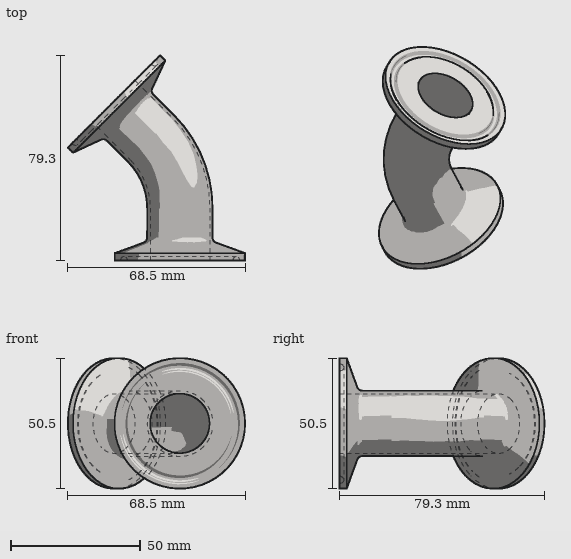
import cadquery as cq
import math

tube_diameter = 25.4
bore_diameter = 23.0
bend_radius = 38.1
bend_angle = 45.0
leg_length = 20.2

flange_diameter = 50.5
rim_thickness = 2.85
cone_angle = 20.0
neck_fillet = 2.0

groove_diameter = 43.5
groove_depth = 1.7
groove_bottom_radius = 1.2
groove_lip_radius = 0.8
groove_wall_angle = 20.0

tube_radius = tube_diameter / 2
bore_radius = bore_diameter / 2
flange_radius = flange_diameter / 2
groove_center_radius = groove_diameter / 2


def make_ferrule_leg():
    """Straight tube with a clamp flange; sealing face on the XZ plane, tube along +Y."""
    cone_height = (flange_radius - tube_radius) * math.tan(math.radians(cone_angle))
    neck_y = rim_thickness + cone_height
    leg = (
        cq.Workplane("XY")
        .moveTo(bore_radius, 0)
        .lineTo(flange_radius, 0)
        .lineTo(flange_radius, rim_thickness)
        .lineTo(tube_radius, neck_y)
        .lineTo(tube_radius, leg_length)
        .lineTo(bore_radius, leg_length)
        .close()
        .revolve(360, (0, 0, 0), (0, 1, 0))
    )
    neck_band = cq.selectors.BoxSelector(
        (-tube_radius, neck_y - neck_fillet, -tube_radius),
        (tube_radius, neck_y + neck_fillet, tube_radius),
    )
    leg = leg.edges("%CIRCLE").edges(neck_band).fillet(neck_fillet)
    return leg.cut(make_gasket_groove())


def make_gasket_groove():
    """Ring groove: rounded bottom, leaning straight walls and rounded lips at the sealing face."""
    wall = math.radians(groove_wall_angle)
    arc_sweep = math.pi / 2 - wall
    bottom_center_y = groove_depth - groove_bottom_radius
    wall_foot_x = groove_bottom_radius * math.cos(wall)
    wall_foot_y = bottom_center_y + groove_bottom_radius * math.sin(wall)
    wall_top_y = groove_lip_radius * (1 - math.sin(wall))
    wall_top_x = wall_foot_x + (wall_foot_y - wall_top_y) * math.tan(wall)
    lip_x = wall_top_x + groove_lip_radius * math.cos(wall)
    lip_middle_x = lip_x - groove_lip_radius * math.sin(arc_sweep / 2)
    lip_middle_y = groove_lip_radius * (1 - math.cos(arc_sweep / 2))
    return (
        cq.Workplane("XY")
        .center(groove_center_radius, 0)
        .moveTo(-lip_x, 0)
        .threePointArc((-lip_middle_x, lip_middle_y), (-wall_top_x, wall_top_y))
        .lineTo(-wall_foot_x, wall_foot_y)
        .threePointArc((0, groove_depth), (wall_foot_x, wall_foot_y))
        .lineTo(wall_top_x, wall_top_y)
        .threePointArc((lip_middle_x, lip_middle_y), (lip_x, 0))
        .close()
        .revolve(360, (-groove_center_radius, 0, 0), (-groove_center_radius, 1, 0))
    )


def make_bend():
    """Tube swept about a vertical axis on the -X side of the first leg."""
    return (
        cq.Workplane("XZ", origin=(0, leg_length, 0))
        .circle(tube_radius)
        .circle(bore_radius)
        .revolve(bend_angle, (-bend_radius, 0, 0), (-bend_radius, 1, 0))
    )


first_leg = make_ferrule_leg()

second_leg = (
    first_leg.mirror("XZ", (0, leg_length, 0))
    .rotate((-bend_radius, leg_length, 0), (-bend_radius, leg_length, 1), bend_angle)
)

result = first_leg.union(make_bend()).union(second_leg)